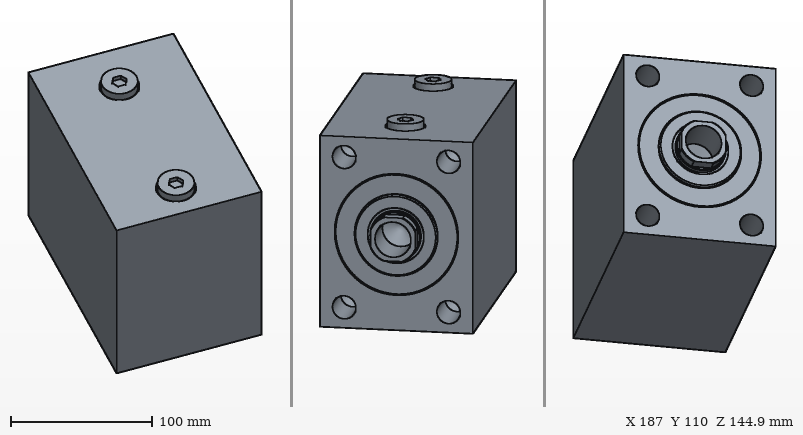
import cadquery as cq
import math

TOTAL_LENGTH = 187.0
BLOCK_WIDTH = 110.0
BLOCK_HEIGHT = 140.0
ROD_PROJECTION = 13.8
TIP_X = 0.0
FACE_X = TIP_X + ROD_PROJECTION
BACK_X = TIP_X + TOTAL_LENGTH
TOP_Z = BLOCK_HEIGHT / 2

MOUNT_DIAMETER = 16.8
MOUNT_DEPTH = 33.7
MOUNT_SPACING_Y = 75.0
MOUNT_SPACING_Z = 110.0
DRILL_POINT_ANGLE = 118.0

GLAND_DIAMETER = 87.3
GLAND_DEPTH = 37.4
GLAND_GAP = 0.7
GLAND_GAP_DEPTH = 0.7
BOSS_DIAMETER = 59.7
BOSS_HEIGHT = 3.0
BOSS_CHAMFER = 1.1
WIPER_DIAMETER = 40.4
WIPER_DEPTH = 1.5
BOSS_X = FACE_X - BOSS_HEIGHT
GLAND_END_X = FACE_X + GLAND_DEPTH

ROD_DIAMETER = 36.0
ROD_CHAMFER = 0.5
NECK_DIAMETER = 35.0
NECK_LENGTH = 8.2
NECK_CHAMFER = 0.4
NECK_FLATS = 32.0
ROD_HOLE_DIAMETER = 25.8
ROD_HOLE_DEPTH = 30.0

PLUG_DIAMETER = 26.0
PLUG_PROJECTION = 4.9
PLUG_SUNK_DEPTH = 9.4
PORT_XS = (FACE_X + 36.3, FACE_X + 147.4)
SPOTFACE_DIAMETER = 28.5
SPOTFACE_DEPTH = 1.9
HEX_FLATS = 9.7
HEX_DEPTH = 3.4


def x_cylinder(diameter, start_x, end_x):
    """Cylinder along the piston axis between two X positions."""
    return cq.Workplane("YZ", origin=(start_x, 0, 0)).circle(diameter / 2).extrude(end_x - start_x)


def drilled_hole(diameter, start_x, depth):
    """Blind hole along +X: a cylinder of the given depth with a conical drill point."""
    radius = diameter / 2
    point = radius / math.tan(math.radians(DRILL_POINT_ANGLE / 2))
    return (
        cq.Workplane("XY")
        .moveTo(start_x, 0)
        .lineTo(start_x, radius)
        .lineTo(start_x + depth, radius)
        .lineTo(start_x + depth + point, 0)
        .close()
        .revolve(360, (0, 0, 0), (1, 0, 0))
    )


def z_cylinder(diameter, x, bottom_z, top_z):
    """Vertical cylinder on the block's centre plane."""
    return cq.Workplane("XY", origin=(x, 0, bottom_z)).circle(diameter / 2).extrude(top_z - bottom_z)


def make_housing():
    block_length = BACK_X - FACE_X
    housing = cq.Workplane("XY").box(block_length, BLOCK_WIDTH, BLOCK_HEIGHT, centered=(False, True, True))
    housing = housing.translate((FACE_X, 0, 0))

    groove_diameter = GLAND_DIAMETER + 2 * GLAND_GAP
    housing = housing.cut(x_cylinder(GLAND_DIAMETER, FACE_X, GLAND_END_X))
    housing = housing.cut(x_cylinder(groove_diameter, FACE_X, FACE_X + GLAND_GAP_DEPTH))

    mount_hole = drilled_hole(MOUNT_DIAMETER, FACE_X, MOUNT_DEPTH)
    for side_y in (-1, 1):
        for side_z in (-1, 1):
            place = (0, side_y * MOUNT_SPACING_Y / 2, side_z * MOUNT_SPACING_Z / 2)
            housing = housing.cut(mount_hole.translate(place))

    for x in PORT_XS:
        housing = housing.cut(z_cylinder(PLUG_DIAMETER, x, TOP_Z - PLUG_SUNK_DEPTH, TOP_Z))
        housing = housing.cut(z_cylinder(SPOTFACE_DIAMETER, x, TOP_Z - SPOTFACE_DEPTH, TOP_Z))
    return housing


def make_gland():
    boss = x_cylinder(BOSS_DIAMETER, BOSS_X, FACE_X).faces("<X").chamfer(BOSS_CHAMFER)
    gland = x_cylinder(GLAND_DIAMETER, FACE_X, GLAND_END_X).union(boss)
    gland = gland.cut(x_cylinder(ROD_DIAMETER, BOSS_X, GLAND_END_X))
    return gland.cut(x_cylinder(WIPER_DIAMETER, BOSS_X, BOSS_X + WIPER_DEPTH))


def make_rod():
    shoulder_x = TIP_X + NECK_LENGTH
    shaft = x_cylinder(ROD_DIAMETER, shoulder_x, GLAND_END_X).faces("<X").chamfer(ROD_CHAMFER)
    neck = x_cylinder(NECK_DIAMETER, TIP_X, shoulder_x).faces("<X").chamfer(NECK_CHAMFER)
    square = cq.Workplane("YZ", origin=(TIP_X, 0, 0)).rect(NECK_FLATS, NECK_FLATS).extrude(NECK_LENGTH)
    rod = shaft.union(neck.intersect(square))
    return rod.cut(drilled_hole(ROD_HOLE_DIAMETER, TIP_X, ROD_HOLE_DEPTH))


def make_plug(x):
    plug_top = TOP_Z + PLUG_PROJECTION
    plug = z_cylinder(PLUG_DIAMETER, x, TOP_Z - PLUG_SUNK_DEPTH, plug_top)
    hex_corners = HEX_FLATS / math.cos(math.pi / 6)
    socket = (
        cq.Workplane("XY")
        .polygon(6, hex_corners)
        .extrude(-HEX_DEPTH)
        .rotate((0, 0, 0), (0, 0, 1), 90)
        .translate((x, 0, plug_top))
    )
    return plug.cut(socket)


housing = make_housing()
gland = make_gland()
rod = make_rod()
plugs = [make_plug(x) for x in PORT_XS]

result = cq.Compound.makeCompound(
    [housing.val(), gland.val(), rod.val(), *[plug.val() for plug in plugs]]
)